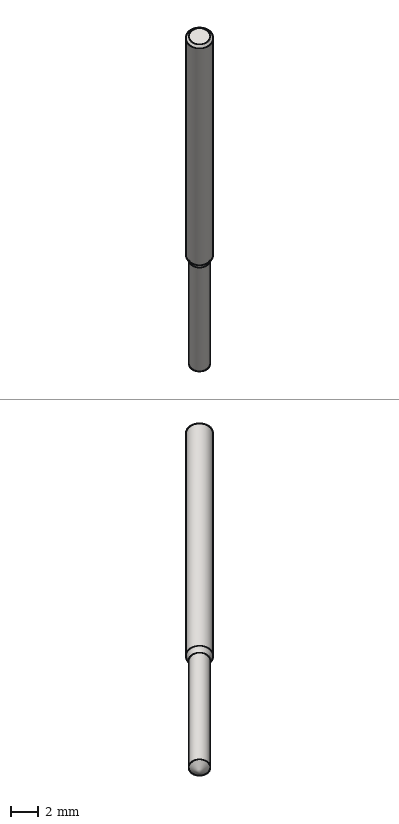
import cadquery as cq
import math

total_length = 38.0
barrel_diameter = 2.0
plunger_diameter = 1.6

tip_height = 0.57
shoulder_height = 12.45
neck_height = 0.55
top_chamfer_height = 0.2
top_chamfer_width = 0.23

barrel_radius = barrel_diameter / 2
plunger_radius = plunger_diameter / 2


def make_barrel():
    """Cylinder chamfered at the top, with a concave neck down to the plunger diameter."""
    neck_depth = barrel_radius - plunger_radius
    neck_radius = (neck_height**2 + neck_depth**2) / (2 * neck_depth)
    half_sweep = math.asin(neck_height / neck_radius) / 2
    neck_middle = (
        plunger_radius + neck_radius * (1 - math.cos(half_sweep)),
        shoulder_height + neck_radius * math.sin(half_sweep),
    )
    profile = (
        cq.Workplane("XZ")
        .moveTo(0, shoulder_height)
        .lineTo(plunger_radius, shoulder_height)
        .threePointArc(neck_middle, (barrel_radius, shoulder_height + neck_height))
        .lineTo(barrel_radius, total_length - top_chamfer_height)
        .lineTo(barrel_radius - top_chamfer_width, total_length)
        .lineTo(0, total_length)
        .close()
    )
    return profile.revolve(360, (0, 0), (0, 1))


def make_plunger():
    """Thin rod with a conical point, butting against the barrel."""
    profile = (
        cq.Workplane("XZ")
        .lineTo(plunger_radius, tip_height)
        .lineTo(plunger_radius, shoulder_height)
        .lineTo(0, shoulder_height)
        .close()
    )
    return profile.revolve(360, (0, 0), (0, 1))


barrel = make_barrel()
plunger = make_plunger()

result = cq.Compound.makeCompound([barrel.val(), plunger.val()])